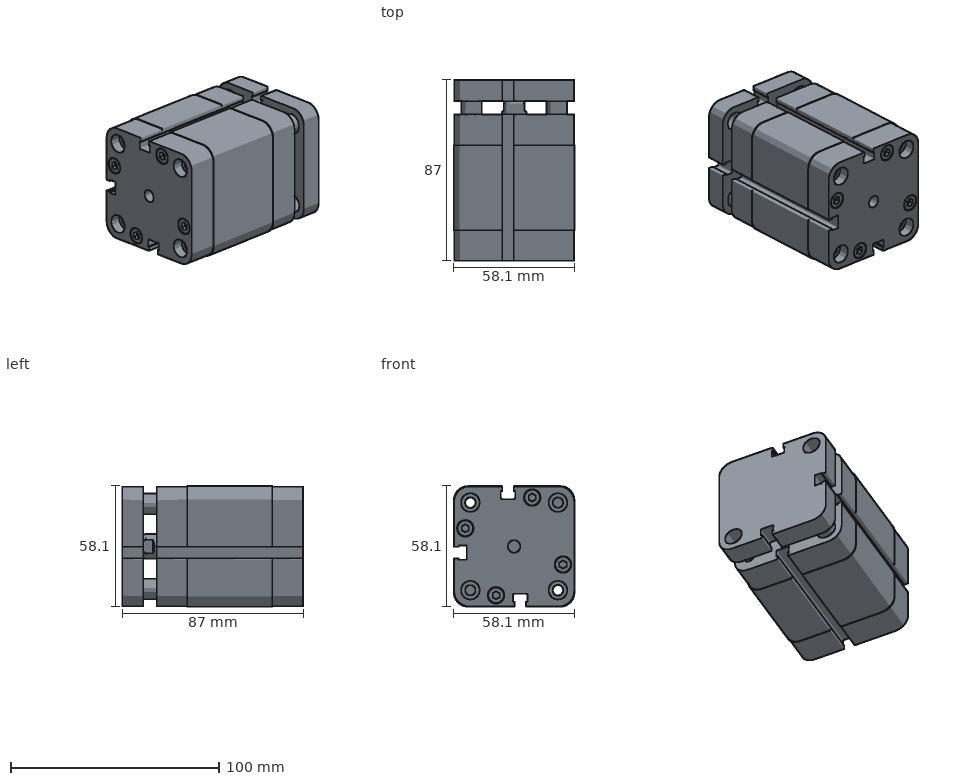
import cadquery as cq
import math

total_length = 87.0
cap_length = 14.8
barrel_length = 40.8
gap_length = 6.4
plate_length = total_length - 2 * cap_length - barrel_length - gap_length

front_y = -total_length / 2
barrel_y = front_y + cap_length
back_cap_y = barrel_y + barrel_length
gap_y = back_cap_y + cap_length
plate_y = gap_y + gap_length

barrel_width = 58.1
cap_width = 57.6
corner_radius = 7.1

slot_offset = 3.0
slot_neck_width = 5.5
slot_inner_width = 6.8
slot_lip_level = 26.5
slot_floor_level = 22.8
slot_mouth_radius = 0.5
slot_floor_radius = 0.5
slot_turns = (0, 90, 180)

mount_offset = 21.05
mount_hole_diameter = 5.0
mount_counterbore_diameter = 9.0
mount_counterbore_depth = 5.5
plate_hole_diameter = 9.0

guide_offset = 20.45
guide_diameter = 10.0

rod_diameter = 12.0
rod_flat_width = 10.1
rod_flat_length = 4.4
rod_chamfer_length = 1.1
rod_chamfer_depth = 0.35

center_hole_diameter = 6.0
center_hole_depth = 10.0

screw_along = 8.7
screw_out = 23.5
screw_bore_diameter = 8.0
screw_head_diameter = 7.5
screw_head_height = 5.0
screw_recess = 0.2
hex_across_flats = 3.4
hex_depth = 2.0


def plane_at(y):
    """Plane facing +Y at position y, with local x = -X and local y = +Z."""
    return cq.Plane(origin=(0, y, 0), xDir=(-1, 0, 0), normal=(0, 1, 0))


def cylinder(x, z, y, diameter, length):
    """Cylinder along +Y that starts at (x, y, z)."""
    return cq.Workplane(plane_at(y)).center(-x, z).circle(diameter / 2).extrude(length)


def turned(body, degrees):
    """Body turned about the part's Y axis."""
    return body.rotate((0, 0, 0), (0, 1, 0), degrees)


def slot_cutter(width, y, length):
    """T slot for the top face, with rounded mouth and floor corners."""
    surface = width / 2
    neck = slot_neck_width / 2
    inner = slot_inner_width / 2
    mouth = slot_mouth_radius
    floor = slot_floor_radius
    bend = 1 - math.sqrt(0.5)
    low = slot_floor_level
    return (
        cq.Workplane(plane_at(y))
        .center(slot_offset, 0)
        .moveTo(-neck - mouth, surface)
        .threePointArc((-neck - mouth * bend, surface - mouth * bend), (-neck, surface - mouth))
        .lineTo(-neck, slot_lip_level)
        .lineTo(-inner, slot_lip_level)
        .lineTo(-inner, low + floor)
        .threePointArc((-inner + floor * bend, low + floor * bend), (-inner + floor, low))
        .lineTo(inner - floor, low)
        .threePointArc((inner - floor * bend, low + floor * bend), (inner, low + floor))
        .lineTo(inner, slot_lip_level)
        .lineTo(neck, slot_lip_level)
        .lineTo(neck, surface - mouth)
        .threePointArc((neck + mouth * bend, surface - mouth * bend), (neck + mouth, surface))
        .close()
        .extrude(length)
    )


def slotted_block(width, y, length):
    """Rounded square block with the slots running along its length."""
    block = cq.Workplane(plane_at(y)).rect(width, width).extrude(length).edges("|Y").fillet(corner_radius)
    cutter = slot_cutter(width, y, length)
    for degrees in slot_turns:
        block = block.cut(turned(cutter, -degrees))
    return block


def piston_rod():
    """Rod stub across the gap, chamfered at the plate, with flats on its -X and +X sides."""
    radius = rod_diameter / 2
    flat = rod_flat_width / 2
    rod = (
        cylinder(0, 0, gap_y, rod_diameter, gap_length)
        .faces(">Y")
        .chamfer(rod_chamfer_length, rod_chamfer_depth)
    )
    flat_y = plate_y - rod_flat_length
    run_out = radius - flat
    flat_cut = (
        cq.Workplane("XY")
        .polyline([(flat, plate_y), (flat, flat_y), (radius, flat_y - run_out), (radius, plate_y)])
        .close()
        .extrude(radius, both=True)
    )
    return rod.cut(flat_cut).cut(flat_cut.mirror("YZ"))


def screw(x, z):
    """Socket head centred at (x, z), its hexagon with corners toward +Z and -Z."""
    head_y = front_y + screw_recess
    hexagon = (
        cq.Workplane(plane_at(head_y))
        .polygon(6, hex_across_flats / math.cos(math.pi / 6))
        .extrude(hex_depth)
        .rotate((0, 0, 0), (0, 1, 0), 30)
        .translate((x, 0, z))
    )
    return cylinder(x, z, head_y, screw_head_diameter, screw_head_height).cut(hexagon)


body = slotted_block(cap_width, front_y, cap_length)
body = body.union(slotted_block(barrel_width, barrel_y, barrel_length))
body = body.union(slotted_block(cap_width, back_cap_y, cap_length))
plate = slotted_block(cap_width, plate_y, plate_length)

for side_x in (-1, 1):
    for side_z in (-1, 1):
        x = side_x * mount_offset
        z = side_z * mount_offset
        body = body.cut(cylinder(x, z, front_y, mount_hole_diameter, gap_y - front_y))
        body = body.cut(cylinder(x, z, front_y, mount_counterbore_diameter, mount_counterbore_depth))

for side in (-1, 1):
    x = side * mount_offset
    plate = plate.cut(cylinder(x, -x, plate_y, plate_hole_diameter, plate_length))

body = body.cut(cylinder(0, 0, front_y, center_hole_diameter, center_hole_depth))

screw_places = [
    (screw_along, screw_out),
    (screw_out, -screw_along),
    (-screw_along, -screw_out),
    (-screw_out, screw_along),
]
screw_bore_depth = screw_recess + screw_head_height
for x, z in screw_places:
    body = body.cut(cylinder(x, z, front_y, screw_bore_diameter, screw_bore_depth)).union(screw(x, z))

result = body.union(plate).union(piston_rod())
for side in (-1, 1):
    x = side * guide_offset
    result = result.union(cylinder(x, x, gap_y, guide_diameter, gap_length))